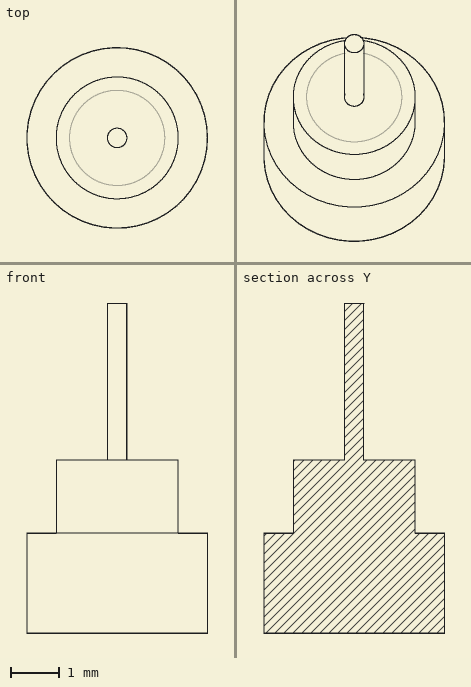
import cadquery as cq

total_height = 6.75
base_diameter = 3.7
base_height = 2.05
neck_diameter = 2.5
neck_height = 1.5
insert_diameter = 1.95
pin_diameter = 0.4

neck_top = base_height + neck_height
pin_height = total_height - neck_top


def cylinder(diameter, height, bottom):
    """Solid cylinder on the Z axis, standing on the given level."""
    return cq.Workplane("XY").workplane(offset=bottom).circle(diameter / 2).extrude(height)


base = cylinder(base_diameter, base_height, 0)
neck = cylinder(neck_diameter, neck_height, base_height)
insert = cylinder(insert_diameter, neck_height, base_height)
housing = base.union(neck).cut(insert)

filled_housing = housing.union(insert, clean=False)

pin = cylinder(pin_diameter, pin_height, neck_top)
result = filled_housing.union(pin, clean=False)